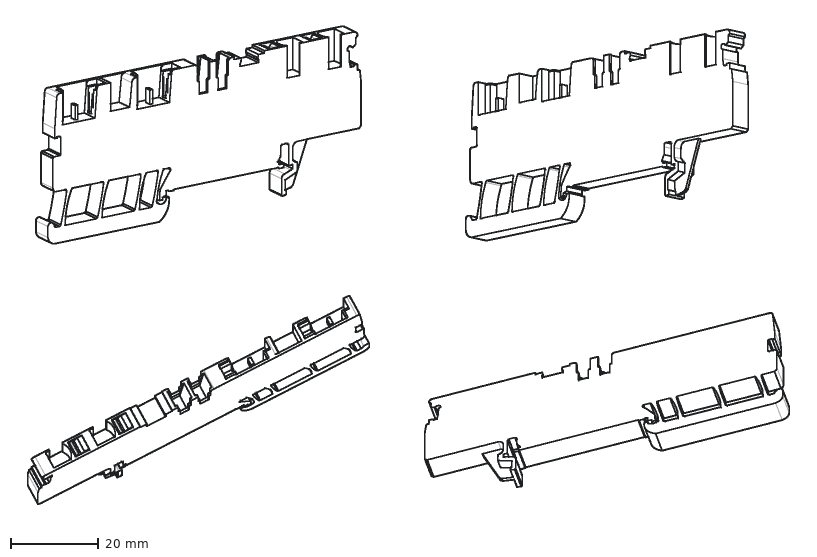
import cadquery as cq
import math


WIDTH = 5.1
SKIN = 0.65
OPEN_SKIN = 0.56
TOP = 36.2
BELLY = 12.6
REAR = 43.1
FRONT = -41.7
RAIL_TOP = 4.0
RAIL_END = -43.1
SEAT = 7.15

ENTRY_PITCH = 11.4
ENTRY_COUNT = 2
ENTRY_REAR = 38.6
ENTRY_FRONT = 33.3
ENTRY_CORNER = 34.1
ENTRY_X_MAX = 4.7
ENTRY_DEPTH = 7.75
ENTRY_WINDOW_REAR = 37.55
BUTTON_REAR = 32.9
BUTTON_FRONT = 29.3
BUTTON_DEPTH = 7.75
BUTTON_X_MIN = 0.905
BUTTON_TOP = 35.75

CLAMP_PITCH = 20.5
CLAMP_COUNT = 2
CLAMP_DEPTH = 7.75
CLAMP_REAR = -6.3
CLAMP_FACE = -8.6
CLAMP_BEVEL = 0.4
CLAMP_FACE_RUN = 1.0
CHAMBER_FRONT = -18.5
STOP_REAR = -17.3
STOP_WIDTH = 2.3
STOP_CHAMFER = 0.4
LEDGE_DEPTH = 1.3
LEDGE_X = (0.82, 4.52)
TOOL_SLOT_X = (1.6, 3.8)
TOOL_SLOT_DEPTH = 7.2
TOOL_SLOT_OVERRUN = 0.6
SLOT_MOUTH_X = (2.1, 3.4)

GROOVE_REAR = -20.6
GROOVE_FRONT = -25.8
GROOVE_DEPTH = 6.9
GROOVE_ROUND = 1.0
GROOVE_LEAN = 0.6

TIP_CENTRE = -13.8
TIP_LENGTH = 0.8
TIP_X = (2.0, 3.7)
TIP_HEIGHT = 3.45

RIB_TOPS = (-11.4, -16.1, -26.35, -36.5)
RIB_MIDDLE = 8.8
RIB_BEVEL = 0.35

BRIDGE_CENTRES = (4.9, -0.3)
BRIDGE_FLOOR = 28.9
SLOT_FLOOR_HALF = 1.16
SLOT_MOUTH_HALF = 1.6
FUNNEL_FLOOR = 26.7
FUNNEL_FLOOR_HALF = 1.0
FUNNEL_MOUTH_HALF = 2.15
MOUTH_ROUND = 0.8

WEB_RECESS = 2.15


def prism(points, x_min=0.0, x_max=WIDTH):
    """Extrude a (y, z) polygon from x_min to x_max."""
    return cq.Workplane("YZ", origin=(x_min, 0, 0)).polyline(points).close().extrude(x_max - x_min)


def block(y_front, y_rear, z_min, z_max, x_min=0.0, x_max=WIDTH):
    """Rectangular block given by its limits."""
    return cq.Workplane("XY").box(
        x_max - x_min, y_rear - y_front, z_max - z_min, centered=False
    ).translate((x_min, y_front, z_min))


def main_panel():
    """Flat panel with a leaning front edge above the front notch."""
    outline = (
        cq.Workplane("YZ")
        .moveTo(REAR - 0.6, BELLY)
        .lineTo(REAR, BELLY + 0.6)
        .lineTo(REAR, 23.7)
        .lineTo(42.7, 26.6)
        .lineTo(42.1, 26.8)
        .lineTo(42.0, 28.2)
        .lineTo(41.25, 28.2)
        .lineTo(40.9, 27.8)
        .lineTo(40.1, 27.8)
        .lineTo(39.8, 29.5)
        .lineTo(39.8, 31.7)
        .threePointArc((39.7, 32.9), (40.5, 32.65))
        .lineTo(40.7, 32.5)
        .lineTo(41.6, 33.2)
        .lineTo(41.6, 34.6)
        .lineTo(42.0, 35.05)
        .threePointArc((41.9, 35.8), (41.2, TOP))
        .lineTo(-39.8, TOP)
        .tangentArcPoint((-40.65, 35.3), relative=False)
        .lineTo(-41.2, 27.9)
        .lineTo(-41.2, 25.5)
        .lineTo(-40.6, 25.5)
        .lineTo(-40.5, 25.75)
        .lineTo(-39.8, 25.75)
        .lineTo(-39.5, 25.5)
        .lineTo(-39.5, 21.4)
        .lineTo(-39.8, 21.1)
        .lineTo(FRONT + 0.35, 21.1)
        .lineTo(FRONT, 20.8)
        .lineTo(FRONT, BELLY + 1.0)
        .threePointArc((-41.5, 13.0), (-41.1, BELLY))
        .close()
    )
    return outline.extrude(WIDTH)


def rib(top):
    """Curved rib, with bevels where it meets the panel and at its front lower end."""
    return (
        cq.Workplane("YZ")
        .moveTo(top + RIB_BEVEL / 2, BELLY)
        .lineTo(top - 0.1, BELLY - RIB_BEVEL)
        .threePointArc((top - 1.2, RIB_MIDDLE), (top - 1.8, RAIL_TOP))
        .lineTo(top - 3.4, RAIL_TOP)
        .lineTo(top - 3.0, RAIL_TOP + RIB_BEVEL)
        .threePointArc((top - 2.0, RIB_MIDDLE), (top - 1.4, BELLY - RIB_BEVEL))
        .lineTo(top - 1.4 - RIB_BEVEL / 2, BELLY)
        .close()
        .extrude(WIDTH)
    )


def base_bar():
    """Long bar under the ribs, with a hook at its rear end and a lip at its front end."""
    return (
        cq.Workplane("YZ")
        .moveTo(-12.5, 0)
        .threePointArc((-10.6, 1.8), (-9.7, 5.5))
        .lineTo(-10.5, 5.5)
        .threePointArc((-11.9, 4.2), (-13.2, 5.2))
        .lineTo(-13.2, RAIL_TOP)
        .lineTo(-40.9, RAIL_TOP)
        .lineTo(-41.6, 5.0)
        .threePointArc((-42.4, 5.25), (RAIL_END, 4.6))
        .lineTo(RAIL_END, 1.9)
        .threePointArc((-42.5, 0.6), (-41.3, 0))
        .close()
        .extrude(WIDTH)
    )


def rail_seat():
    """Block below the panel that rests on the mounting rail, with a nose at each end."""
    return (
        cq.Workplane("YZ")
        .moveTo(21.4, BELLY)
        .threePointArc((21.0, 12.3), (20.9, 11.7))
        .lineTo(20.9, 9.8)
        .lineTo(20.15, 8.5)
        .lineTo(20.7, 7.8)
        .lineTo(21.7, 7.8)
        .lineTo(21.7, 6.9)
        .lineTo(20.5, 6.9)
        .lineTo(20.3, SEAT)
        .lineTo(-8.3, SEAT)
        .lineTo(-8.5, 6.9)
        .lineTo(-9.65, 6.9)
        .lineTo(-9.9, SEAT)
        .lineTo(-10.5, SEAT)
        .lineTo(-10.5, 6.1)
        .lineTo(-11.5, 5.8)
        .lineTo(-11.5, 5.2)
        .lineTo(-12.4, 5.2)
        .lineTo(-12.2, 7.75)
        .threePointArc((-10.8, 10.0), (-9.3, 12.1))
        .lineTo(-9.6, BELLY)
        .close()
        .extrude(WIDTH)
    )


def foot_strap():
    """Springy strap of the foot, over the full width."""
    return (
        cq.Workplane("YZ")
        .moveTo(25.4, BELLY)
        .threePointArc((24.55, 12.1), (24.2, 11.0))
        .lineTo(24.2, 8.8)
        .threePointArc((24.55, 8.0), (25.5, 7.5))
        .lineTo(25.5, 5.25)
        .lineTo(22.1, 3.8)
        .lineTo(22.1, 1.4)
        .lineTo(22.5, 1.2)
        .lineTo(22.5, 0.3)
        .lineTo(21.45, 0)
        .lineTo(21.2, 0.35)
        .lineTo(21.2, 4.3)
        .threePointArc((21.45, 5.0), (22.05, 5.3))
        .lineTo(23.8, 5.9)
        .lineTo(24.2, 6.2)
        .lineTo(24.2, SEAT)
        .lineTo(23.2, SEAT)
        .lineTo(23.2, 12.15)
        .lineTo(22.8, BELLY)
        .close()
        .extrude(WIDTH)
    )


def foot_web():
    """Thinner web that stiffens the strap."""
    return prism([
        (29.9, BELLY), (25.75, 1.4), (25.15, 0.9), (22.5, 0.3), (22.1, 3.8), (25.5, 5.25),
        (25.5, 7.5), (24.2, 8.8), (24.2, BELLY),
    ], WEB_RECESS, WIDTH - WEB_RECESS)


def marker_groove():
    """Undercut groove for a marker strip, from side to side."""
    return prism([
        (16.45, TOP), (16.45, 35.6), (14.8, 35.6), (14.6, 34.8), (14.9, 34.1), (14.8, 33.6),
        (9.8, 33.6), (9.7, 34.1), (10.1, 34.9), (10.0, 35.6), (8.2, 35.6), (8.2, TOP),
    ])


def bridge_slot(centre):
    """Stepped slot from side to side, with a deeper tapering funnel between the skins."""
    step = prism([
        (centre - SLOT_FLOOR_HALF, BRIDGE_FLOOR), (centre - SLOT_FLOOR_HALF, 31.9),
        (centre - SLOT_MOUTH_HALF, 32.3), (centre - SLOT_MOUTH_HALF, TOP),
        (centre + SLOT_MOUTH_HALF, TOP), (centre + SLOT_MOUTH_HALF, 32.3),
        (centre + SLOT_FLOOR_HALF, 31.9), (centre + SLOT_FLOOR_HALF, BRIDGE_FLOOR),
    ])
    funnel = prism([
        (centre - FUNNEL_FLOOR_HALF, FUNNEL_FLOOR), (centre - FUNNEL_MOUTH_HALF, TOP),
        (centre + FUNNEL_MOUTH_HALF, TOP), (centre + FUNNEL_FLOOR_HALF, FUNNEL_FLOOR),
    ], SKIN, WIDTH - SKIN)
    return step.union(funnel)


def mouth_round(edge, direction):
    """Waste outside a rounded top edge of a slot; direction is the side the wall lies on."""
    end = edge + direction * MOUTH_ROUND
    middle = edge + direction * MOUTH_ROUND * (1 - math.sqrt(0.5))
    return (
        cq.Workplane("YZ")
        .moveTo(edge, TOP)
        .lineTo(end, TOP)
        .threePointArc((middle, TOP - MOUTH_ROUND * (1 - math.sqrt(0.5))), (edge, TOP - MOUTH_ROUND))
        .close()
        .extrude(WIDTH)
    )


def wire_entry(shift):
    """Chamber with a round front wall and a window in the +X side."""
    middle = (SKIN + ENTRY_X_MAX) / 2
    chamber = (
        cq.Workplane("XY", origin=(0, shift, TOP - ENTRY_DEPTH))
        .moveTo(SKIN, ENTRY_REAR)
        .lineTo(SKIN, ENTRY_CORNER)
        .threePointArc((middle, ENTRY_FRONT), (ENTRY_X_MAX, ENTRY_CORNER))
        .lineTo(ENTRY_X_MAX, ENTRY_REAR)
        .close()
        .extrude(ENTRY_DEPTH)
    )
    window = block(
        ENTRY_CORNER + shift, ENTRY_WINDOW_REAR + shift, TOP - ENTRY_DEPTH, TOP, ENTRY_X_MAX - 0.9)
    return chamber.union(window)


def button_well(shift):
    return block(BUTTON_FRONT + shift, BUTTON_REAR + shift, TOP - BUTTON_DEPTH, TOP,
                 SKIN, WIDTH - OPEN_SKIN)


def clamp_chamber(shift):
    """Chamber open to +X, with a leaning rear wall, a tool slot behind it and a stop in front."""
    floor = TOP - CLAMP_DEPTH
    chamber = prism([
        (CLAMP_FACE + shift, TOP), (CLAMP_FACE - CLAMP_BEVEL + shift, TOP - CLAMP_BEVEL),
        (CLAMP_FACE - CLAMP_FACE_RUN + shift, floor),
        (CHAMBER_FRONT + shift, floor), (CHAMBER_FRONT + shift, TOP),
    ], SKIN, WIDTH)
    stop = (
        block(CHAMBER_FRONT + shift, STOP_REAR + STOP_CHAMFER + shift, floor, TOP,
              SKIN, STOP_WIDTH + STOP_CHAMFER)
        .faces(">Z").edges(">Y or >X").chamfer(STOP_CHAMFER)
    )
    ledges = block(CLAMP_FACE - TOOL_SLOT_OVERRUN + shift, CLAMP_REAR + shift,
                   TOP - LEDGE_DEPTH, TOP, *LEDGE_X)
    tool_slot = block(CLAMP_FACE - TOOL_SLOT_OVERRUN + shift, CLAMP_REAR + shift,
                      TOP - TOOL_SLOT_DEPTH, TOP, *TOOL_SLOT_X)
    slot_mouth = block(CLAMP_FACE - CLAMP_FACE_RUN + shift, CLAMP_FACE + shift,
                       TOP - TOOL_SLOT_DEPTH, TOP, *SLOT_MOUTH_X)
    return chamber.cut(stop).union(ledges).union(tool_slot).union(slot_mouth)


def middle_groove():
    """Groove open to +X behind the second clamp, with a rounded edge on its rear side."""
    floor = TOP - GROOVE_DEPTH
    return (
        cq.Workplane("YZ", origin=(SKIN, 0, 0))
        .moveTo(GROOVE_FRONT, floor)
        .lineTo(GROOVE_FRONT, TOP)
        .lineTo(GROOVE_REAR + GROOVE_LEAN + GROOVE_ROUND, TOP)
        .radiusArc((GROOVE_REAR + GROOVE_LEAN, TOP - GROOVE_ROUND), -GROOVE_ROUND)
        .lineTo(GROOVE_REAR, floor)
        .close()
        .extrude(WIDTH - SKIN)
    )


def make_housing():
    housing = main_panel().union(rail_seat()).union(base_bar())
    housing = housing.union(foot_strap()).union(foot_web())
    for top in RIB_TOPS:
        housing = housing.union(rib(top))
    housing = housing.cut(marker_groove()).cut(middle_groove())
    for centre in BRIDGE_CENTRES:
        housing = housing.cut(bridge_slot(centre))
    housing = housing.cut(mouth_round(BRIDGE_CENTRES[0] + SLOT_MOUTH_HALF, 1))
    housing = housing.cut(mouth_round(BRIDGE_CENTRES[1] - SLOT_MOUTH_HALF, -1))
    for i in range(ENTRY_COUNT):
        housing = housing.cut(wire_entry(-i * ENTRY_PITCH)).cut(button_well(-i * ENTRY_PITCH))
    for i in range(CLAMP_COUNT):
        housing = housing.cut(clamp_chamber(-i * CLAMP_PITCH))
    return housing


def make_button(shift):
    """Push button that stands in its well, with a rounded rear ridge and a groove across its head."""
    button = (
        cq.Workplane("YZ", origin=(BUTTON_X_MIN, 0, 0))
        .moveTo(BUTTON_REAR, TOP - BUTTON_DEPTH)
        .lineTo(BUTTON_REAR, 35.8)
        .lineTo(32.65, 36.0)
        .threePointArc((32.4, 35.8), (32.1, 35.5))
        .lineTo(31.8, 35.0)
        .lineTo(31.35, 35.0)
        .lineTo(30.5, BUTTON_TOP)
        .lineTo(BUTTON_FRONT, BUTTON_TOP)
        .lineTo(BUTTON_FRONT, TOP - BUTTON_DEPTH)
        .close()
        .extrude(WIDTH - OPEN_SKIN - BUTTON_X_MIN)
    )
    return button.translate((0, shift, 0))


def make_tip(shift):
    floor = TOP - CLAMP_DEPTH
    half = TIP_LENGTH / 2
    return block(TIP_CENTRE - half + shift, TIP_CENTRE + half + shift, floor, floor + TIP_HEIGHT, *TIP_X)


housing = make_housing()
buttons = [make_button(-i * ENTRY_PITCH) for i in range(ENTRY_COUNT)]
tips = [make_tip(-i * CLAMP_PITCH) for i in range(CLAMP_COUNT)]

result = cq.Compound.makeCompound([
    housing.val(),
    *[button.val() for button in buttons],
    *[tip.val() for tip in tips],
])